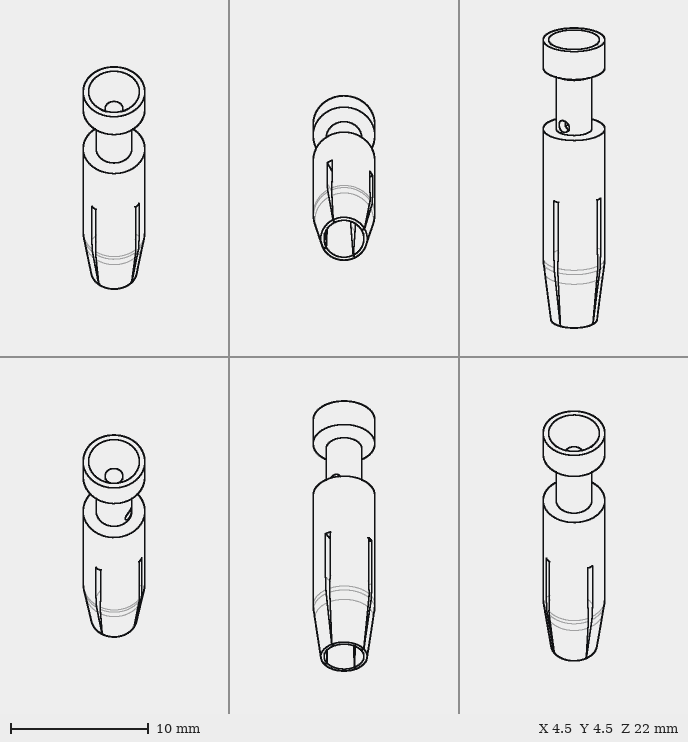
import cadquery as cq
import math

body_diameter = 4.5
neck_diameter = 2.6
tip_diameter = 3.38

total_height = 22.0
head_bottom = 19.8
neck_top = 19.33
shoulder_height = 15.0
blend_top = 4.8
blend_middle = 4.45
blend_bottom = 3.65

blend_middle_inset = 0.02
blend_bottom_inset = 0.12

cup_rim_diameter = 3.7
cup_bore_diameter = 1.3
cup_cone_angle = 60.0
cup_bore_floor = 15.1
drill_point_angle = 118.0

vent_diameter = 0.9
vent_height = 15.6

socket_diameter = 2.9

slit_width = 0.4
slit_tip_width = 0.02
slit_top = 10.0
slit_taper_start = 6.0


def make_turned_body():
    """Solid of revolution about Z, with the tip at Z = 0."""
    body_radius = body_diameter / 2
    neck_radius = neck_diameter / 2
    return (
        cq.Workplane("XZ")
        .moveTo(0, 0)
        .lineTo(tip_diameter / 2, 0)
        .lineTo(body_radius - blend_bottom_inset, blend_bottom)
        .lineTo(body_radius - blend_middle_inset, blend_middle)
        .lineTo(body_radius, blend_top)
        .lineTo(body_radius, shoulder_height)
        .lineTo(neck_radius, shoulder_height)
        .lineTo(neck_radius, neck_top)
        .lineTo(body_radius, head_bottom)
        .lineTo(body_radius, total_height)
        .lineTo(0, total_height)
        .close()
        .revolve(360, (0, 0), (0, 1))
    )


def make_cup():
    """Conical mouth and blind bore that ends in a drill point."""
    bore_radius = cup_bore_diameter / 2
    rim_radius = cup_rim_diameter / 2
    cone_depth = (rim_radius - bore_radius) / math.tan(math.radians(cup_cone_angle / 2))
    point_depth = bore_radius / math.tan(math.radians(drill_point_angle / 2))
    return (
        cq.Workplane("XZ")
        .moveTo(0, total_height)
        .lineTo(rim_radius, total_height)
        .lineTo(bore_radius, total_height - cone_depth)
        .lineTo(bore_radius, cup_bore_floor)
        .lineTo(0, cup_bore_floor - point_depth)
        .close()
        .revolve(360, (0, 0), (0, 1))
    )


def make_vent_hole():
    """Radial hole from the axis out through the +Y wall of the neck."""
    return (
        cq.Workplane("XZ")
        .center(0, vent_height)
        .circle(vent_diameter / 2)
        .extrude(-neck_diameter)
    )


def make_socket_bore():
    """Round bore up from the tip."""
    return cq.Workplane("XY").circle(socket_diameter / 2).extrude(slit_top)


def make_slit(plane):
    """Slit across the full diameter, parallel above and closing towards the tip."""
    half_width = slit_width / 2
    half_tip_width = slit_tip_width / 2
    return (
        cq.Workplane(plane)
        .moveTo(-half_tip_width, 0)
        .lineTo(half_tip_width, 0)
        .lineTo(half_width, slit_taper_start)
        .lineTo(half_width, slit_top)
        .lineTo(-half_width, slit_top)
        .lineTo(-half_width, slit_taper_start)
        .close()
        .extrude(body_diameter, both=True)
    )


result = make_turned_body()
for hollow in (make_cup(), make_vent_hole(), make_socket_bore()):
    result = result.cut(hollow)
for slit_plane in ("XZ", "YZ"):
    result = result.cut(make_slit(slit_plane))